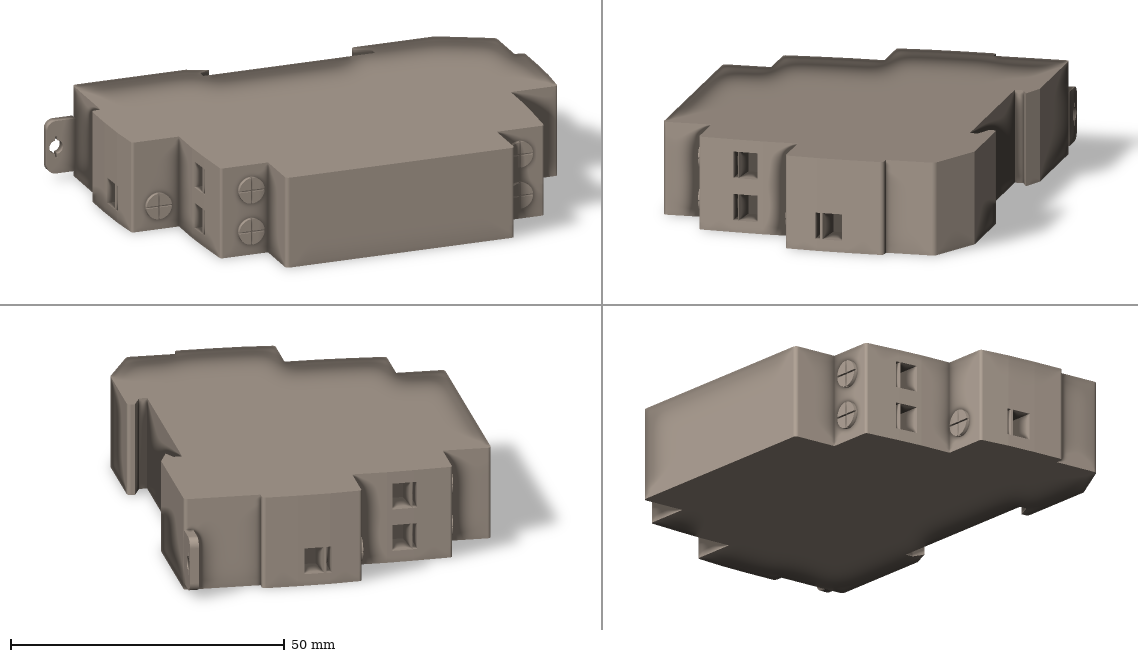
import cadquery as cq

WIDTH = 17.5
DEPTH = 60.8

BACK_HALF = 40.7
LOWER_HALF = 42.6
UPPER_HALF = 32.6
NOSE_HALF = 22.5
LOWER_START = 14.2
LOWER_FACE = 32.9
UPPER_FACE = 51.75

LOWER_BENDS = (20.9, 26.85)
LOWER_DROPS = (0.2, 0.7)
UPPER_BENDS = (39.4, 44.5)
UPPER_DROPS = (0.3, 0.8)

CHAMFER_DEPTH = 5.0
CHAMFER_BASE = 30.6

SLOT_DEPTH = 4.3
SLOT_TOP = 17.2
SLOT_BOTTOM = -16.6
TOP_HOOK_ROOT = 2.8
TOP_HOOK_TIP = 1.4
TOP_HOOK_END = 14.05
BOTTOM_HOOK_ROOT = 2.7
BOTTOM_HOOK_TIP = 1.6
BOTTOM_HOOK_END = -14.5
BOTTOM_HOOK_BASE = -18.5

CORNER_RADIUS = 0.7
STEP_RADIUS = 0.5
CHAMFER_RADIUS = 1.0

TAB_END = -46.3
TAB_THICKNESS = 1.7
TAB_LOW = 1.3
TAB_HIGH = 11.6
TAB_RADIUS = 1.7
KEYHOLE_Y = -44.55
KEYHOLE_RADIUS = 1.3
KEYWAY_WIDTH = 0.5
KEYWAY_LENGTH = 4.3

LOW_TERMINAL_Z = 4.7
HIGH_TERMINAL_Z = 12.7
SCREW_DIAMETER = 5.0
HEAD_HEIGHT = 0.8
CROSS_WIDTH = 0.4
CROSS_DEPTH = 0.5
ENTRY_WIDTH = 3.2
ENTRY_DRAFT = 0.5
GAP_LENGTH = 0.9
SCREW_RECESS = 0.4
LOWER_ENTRY_X = 22.05
LOWER_GAP_X = 26.2
UPPER_ENTRY_X = 40.5
UPPER_GAP_X = UPPER_ENTRY_X + ENTRY_WIDTH + ENTRY_DRAFT
LOWER_SCREW_YS = (36.2, -36.8)
UPPER_SCREW_YS = (26.85, -26.0)


def box(x0, x1, y0, y1, z0, z1):
    """Box between two opposite corners."""
    return cq.Workplane("XY").box(x1 - x0, y1 - y0, z1 - z0, centered=False).translate((x0, y0, z0))


def stepped_side():
    """Outline of the +Y side, from the back step round to the nose corner."""
    lower = [LOWER_HALF - drop for drop in LOWER_DROPS]
    upper = [UPPER_HALF - drop for drop in UPPER_DROPS]
    return [
        (LOWER_START, BACK_HALF),
        (LOWER_START, LOWER_HALF),
        (LOWER_BENDS[0], LOWER_HALF),
        (LOWER_BENDS[1], lower[0]),
        (LOWER_FACE, lower[1]),
        (LOWER_FACE, UPPER_HALF),
        (UPPER_BENDS[0], UPPER_HALF),
        (UPPER_BENDS[1], upper[0]),
        (UPPER_FACE, upper[1]),
        (UPPER_FACE, NOSE_HALF),
        (DEPTH, NOSE_HALF),
    ]


def round_corners(body, points, radius):
    """Round the edges along Z that pass through the given XY points."""
    reach = 0.045
    for x, y in points:
        corner = cq.selectors.BoxSelector((x - reach, y - reach, -0.9), (x + reach, y + reach, WIDTH + 0.9))
        body = body.edges("|Z").edges(corner).fillet(radius)
    return body


def make_housing():
    side = stepped_side()
    mirrored_side = [(x, -y) for x, y in reversed(side)]
    rail_side = [
        (0, -BACK_HALF),
        (0, BOTTOM_HOOK_BASE),
        (BOTTOM_HOOK_TIP, BOTTOM_HOOK_END),
        (BOTTOM_HOOK_ROOT, SLOT_BOTTOM),
        (SLOT_DEPTH, SLOT_BOTTOM),
        (SLOT_DEPTH, SLOT_TOP),
        (TOP_HOOK_ROOT, SLOT_TOP),
        (TOP_HOOK_TIP, TOP_HOOK_END),
        (0, TOP_HOOK_END),
        (0, CHAMFER_BASE),
        (CHAMFER_DEPTH, BACK_HALF),
    ]
    body = cq.Workplane("XY").polyline(side + mirrored_side + rail_side).close().extrude(WIDTH)

    main_corners = [(0, -BACK_HALF), (0, TOP_HOOK_END)]
    step_corners = []
    for sign in (1, -1):
        main_corners += [(LOWER_START, sign * LOWER_HALF), (DEPTH, sign * NOSE_HALF)]
        step_corners += [
            (LOWER_FACE, sign * (LOWER_HALF - LOWER_DROPS[1])),
            (UPPER_FACE, sign * (UPPER_HALF - UPPER_DROPS[1])),
        ]
    body = round_corners(body, main_corners, CORNER_RADIUS)
    body = round_corners(body, step_corners, STEP_RADIUS)
    return round_corners(body, [(CHAMFER_DEPTH, BACK_HALF)], CHAMFER_RADIUS)


def make_tab():
    tab = box(0, TAB_THICKNESS, TAB_END, -BACK_HALF, TAB_LOW, TAB_HIGH)
    tab = tab.edges("|X and <Y").fillet(TAB_RADIUS)
    middle = (TAB_LOW + TAB_HIGH) / 2
    keyhole = (
        cq.Workplane("YZ", origin=(0, KEYHOLE_Y, middle))
        .circle(KEYHOLE_RADIUS)
        .extrude(TAB_THICKNESS)
    )
    keyway = (
        cq.Workplane("YZ", origin=(0, KEYHOLE_Y, middle))
        .rect(KEYWAY_WIDTH, KEYWAY_LENGTH)
        .extrude(TAB_THICKNESS)
    )
    return tab.cut(keyhole).cut(keyway)


def make_screw(start_x, face_x, y, z):
    """Screw along X whose cross-slotted head stands proud of a step face."""
    head_x = face_x + HEAD_HEIGHT
    screw = (
        cq.Workplane("YZ", origin=(start_x, y, z))
        .circle(SCREW_DIAMETER / 2)
        .extrude(head_x - start_x)
    )
    slots = cq.Workplane("YZ", origin=(head_x - CROSS_DEPTH, y, z))
    for size in ((SCREW_DIAMETER, CROSS_WIDTH), (CROSS_WIDTH, SCREW_DIAMETER)):
        screw = screw.cut(slots.rect(*size).extrude(CROSS_DEPTH))
    return screw


def add_terminal(body, entry_x, gap_x, face_x, wall, y, z):
    """Wire entry and screw window in a step wall, reaching in to the screw axis."""
    side = 1 if y > 0 else -1
    mouth = side * wall
    low_z = z - SCREW_DIAMETER / 2
    entry = (
        cq.Workplane("XY", origin=(0, 0, low_z))
        .polyline([
            (entry_x, mouth),
            (entry_x + ENTRY_WIDTH + ENTRY_DRAFT, mouth),
            (entry_x + ENTRY_WIDTH, y),
            (entry_x, y),
        ])
        .close()
        .extrude(SCREW_DIAMETER)
    )
    window = box(gap_x, gap_x + GAP_LENGTH, min(y, mouth), max(y, mouth), low_z, low_z + SCREW_DIAMETER)
    screw = make_screw(gap_x + SCREW_RECESS, face_x, y, z)
    return body.cut(entry).cut(window).union(screw)


result = make_housing().union(make_tab())

for screw_y in LOWER_SCREW_YS:
    result = add_terminal(
        result, LOWER_ENTRY_X, LOWER_GAP_X, LOWER_FACE, LOWER_HALF, screw_y, LOW_TERMINAL_Z
    )

for screw_y in UPPER_SCREW_YS:
    for screw_z in (LOW_TERMINAL_Z, HIGH_TERMINAL_Z):
        result = add_terminal(
            result, UPPER_ENTRY_X, UPPER_GAP_X, UPPER_FACE, UPPER_HALF, screw_y, screw_z
        )